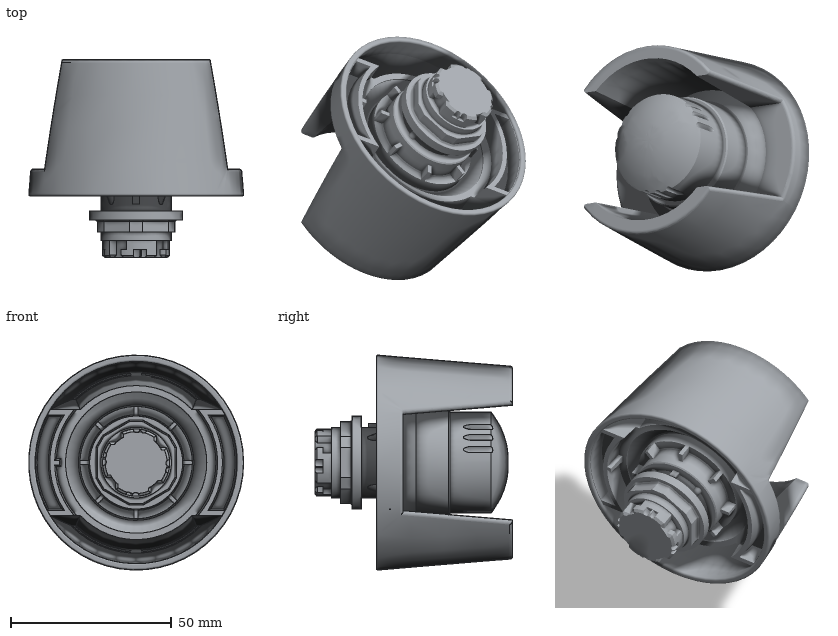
import cadquery as cq
import math


rim_radius = 33.55
guard_length = 42.5
guard_tip_radius = 30.0
guard_wall = 2.0
arm_inner_tip_radius = 25.8
arm_inner_base_radius = 22.6
edge_round = 1.0
rim_round = 0.6

slot_floor_y = 8.4
slot_half_at_floor = 15.0
slot_half_at_tip = 17.85

web_y = 0.8
recess_floor_y = 6.9
lip_radius = 31.5
recess_mouth_radius = 25.4
recess_floor_radius = 24.85
funnel_radius = 22.0
funnel_throat_radius = 18.0
funnel_mouth_depth = 0.5
funnel_throat_y = 10.9
funnel_top_y = 12.3
funnel_top_radius = 18.4

hollow_end_y = guard_length - guard_wall
hollow_end_outer_radius = 28.2
hollow_end_inner_radius = 27.1
hollow_inner_radius = 24.0
hollow_half_at_rim = 16.5
hollow_half_at_end = 19.6
hollow_round = 0.35

pocket_outer_radius = 31.35
pocket_inner_radius = 26.9
pocket_half_height = 14.9
pocket_draft = 0.5

tab_tip_x = -23.95
tab_half_width = 0.7
tab_flare = 0.5

button_tip_y = 41.1
dome_edge_y = 35.7
dome_mid_radius = 8.5
dome_mid_y = 39.8
cap_radius = 31.5 / 2
bezel_radius = 35.0 / 2
bezel_front_y = 22.9
bezel_chamfer = 0.4
hub_radius = 29.0 / 2
hub_end_radius = 28.3 / 2
hub_flare = 0.4
hub_bore_radius = 22.6 / 2
hub_bore_depth = 0.7
grip_radius = 1.1
grip_center_radius = 16.1
grip_end_y = 29.3
grip_tip_y = 26.6
grip_nose_radius = 0.7
grip_nose_y = 27.8
grip_first_angle = 15
grip_step = 15
grip_count = 3
grip_groups = 3

fin_count = 8
fin_thickness = 1.3
fin_rear_y = 2.6

stem_radius = 22.0 / 2
washer_radius = 29.0 / 2
washer_front_y = -4.65
washer_rear_y = -7.5
stem_rear_y = -13.9
end_y = -19.15
flute_front_y = -16.6
plug_radius = 10.45
plug_end_radius = 9.65
plug_chamfer_y = -18.5
key_half_width = 1.1
key_top_radius = 12.25
key_rear_y = -2.45
gusset_radius = 1.25
gusset_length = 2.4

nut_rear_y = -11.2
nut_skirt_y = -7.9
nut_flats = 24.2
nut_corner_flats = 25.6
nut_skirt_growth = 0.9

quarter_turns = 4
flute_x = 0.15
flute_radius = 1.05
flute_center_radius = 10.35
small_flute_x = 2.4
small_flute_radius = 0.85
notch_floor_radius = 8.85
notch_x = 6.4
notch_z = 4.7
notch_inner_z = 3.06
notch_bevel = 0.8

REACH = 60.0


def revolve_points(points):
    """Revolve an (r, y) outline around the Y axis."""
    return cq.Workplane("XY").polyline(points).close().revolve(360, (0, 0, 0), (0, 1, 0))


def turn(body, angle):
    """Turn a body around the Y axis."""
    return body.rotate((0, 0, 0), (0, 1, 0), angle)


def radius_of(point):
    """Distance of a point from the Y axis."""
    return math.hypot(point.x, point.z)


def along_y(y):
    """Workplane facing -Y at height y, with local (x, y) equal to global (x, z)."""
    return cq.Workplane("XZ", origin=(0, y, 0))


def tapered_band(y0, half0, y1, half1):
    """Block across the whole X width whose half height in Z changes from y0 to y1."""
    outline = [(y0, -half0), (y1, -half1), (y1, half1), (y0, half0)]
    return cq.Workplane("YZ").polyline(outline).close().extrude(REACH, both=True)


def make_guard_shell():
    shell = revolve_points([
        (rim_radius, 0),
        (guard_tip_radius, guard_length),
        (arm_inner_tip_radius, guard_length),
        (arm_inner_base_radius, slot_floor_y),
        (funnel_radius, slot_floor_y),
        (funnel_radius, recess_floor_y),
        (recess_floor_radius, recess_floor_y),
        (recess_mouth_radius, web_y),
        (lip_radius, web_y),
        (lip_radius, 0),
    ])
    shell = shell.faces("<Y").edges().fillet(rim_round)
    slot = tapered_band(slot_floor_y, slot_half_at_floor, guard_length, slot_half_at_tip)
    shell = shell.cut(slot)

    outer_edges = []
    tolerance = 0.05
    for edge in shell.edges().vals():
        mid = edge.positionAt(0.5)
        cone_radius = rim_radius - (rim_radius - guard_tip_radius) * mid.y / guard_length
        if mid.y > web_y and abs(radius_of(mid) - cone_radius) < tolerance:
            outer_edges.append(edge)
    return shell.newObject(outer_edges).fillet(edge_round)


def make_funnel():
    return revolve_points([
        (arm_inner_base_radius, slot_floor_y),
        (funnel_top_radius, funnel_top_y),
        (bezel_radius, funnel_top_y),
        (bezel_radius, funnel_throat_y),
        (funnel_throat_radius, funnel_throat_y),
        (funnel_radius, recess_floor_y + funnel_mouth_depth),
        (funnel_radius, recess_floor_y),
        (arm_inner_base_radius, recess_floor_y),
    ])


def make_arm_hollows():
    ring = revolve_points([
        (lip_radius, rim_round),
        (lip_radius, recess_floor_y),
        (hollow_end_outer_radius, hollow_end_y),
        (hollow_end_inner_radius, hollow_end_y),
        (hollow_inner_radius, recess_floor_y),
        (hollow_inner_radius, rim_round),
    ])
    ring = ring.faces(">Y").edges().fillet(hollow_round)
    straight_band = tapered_band(0, hollow_half_at_rim, recess_floor_y, hollow_half_at_rim)
    drafted_band = tapered_band(recess_floor_y, hollow_half_at_rim, hollow_end_y, hollow_half_at_end)
    return ring.cut(straight_band).cut(drafted_band)


def make_side_pockets():
    ring = revolve_points([
        (pocket_outer_radius, web_y),
        (pocket_outer_radius - pocket_draft, recess_floor_y),
        (pocket_inner_radius + pocket_draft, recess_floor_y),
        (pocket_inner_radius, web_y),
    ])
    floor_half_height = pocket_half_height - pocket_draft
    return ring.intersect(tapered_band(web_y, pocket_half_height, recess_floor_y, floor_half_height))


def make_tab():
    length = recess_mouth_radius + tab_tip_x
    middle_x = tab_tip_x - length / 2
    return (
        along_y(web_y)
        .center(middle_x, 0)
        .rect(length, 2 * tab_half_width)
        .workplane(offset=web_y - recess_floor_y)
        .rect(length + 2 * tab_flare, 2 * (tab_half_width + tab_flare))
        .loft(ruled=True)
    )


def make_guard():
    guard = make_guard_shell().cut(make_arm_hollows()).cut(make_side_pockets())
    return guard.union(make_tab()).union(make_funnel())


def make_grip_grooves():
    groove = (
        cq.Workplane("XY")
        .moveTo(0, button_tip_y)
        .lineTo(grip_radius, button_tip_y)
        .lineTo(grip_radius, grip_end_y)
        .threePointArc((grip_nose_radius, grip_nose_y), (0, grip_tip_y))
        .close()
        .revolve(360, (0, 0, 0), (0, 1, 0))
        .translate((-grip_center_radius, 0, 0))
    )
    grooves = cq.Workplane("XY")
    for group in range(grip_groups):
        for index in range(grip_count):
            angle = grip_first_angle + index * grip_step + group * 360 / grip_groups
            grooves = grooves.union(turn(groove, angle))
    return grooves


def make_button_and_stem():
    body = (
        cq.Workplane("XY")
        .moveTo(0, button_tip_y)
        .threePointArc((dome_mid_radius, dome_mid_y), (cap_radius, dome_edge_y))
        .lineTo(cap_radius, bezel_front_y)
        .lineTo(bezel_radius - bezel_chamfer, bezel_front_y)
        .lineTo(bezel_radius, bezel_front_y - bezel_chamfer)
        .lineTo(bezel_radius, recess_floor_y)
        .lineTo(hub_radius + hub_flare, recess_floor_y)
        .lineTo(hub_radius, recess_floor_y - hub_flare)
        .lineTo(hub_radius, hub_radius - hub_end_radius)
        .lineTo(hub_end_radius, 0)
        .lineTo(hub_bore_radius, 0)
        .lineTo(hub_bore_radius, hub_bore_depth)
        .lineTo(stem_radius, hub_bore_depth)
        .lineTo(stem_radius, washer_front_y)
        .lineTo(washer_radius, washer_front_y)
        .lineTo(washer_radius, washer_rear_y)
        .lineTo(stem_radius, washer_rear_y)
        .lineTo(stem_radius, stem_rear_y)
        .lineTo(plug_radius, stem_rear_y)
        .lineTo(plug_radius, plug_chamfer_y)
        .lineTo(plug_end_radius, end_y)
        .lineTo(0, end_y)
        .close()
        .revolve(360, (0, 0, 0), (0, 1, 0))
    )
    return body.cut(make_grip_grooves())


def make_fins():
    length = recess_floor_y - fin_rear_y
    height = bezel_radius - stem_radius
    fin = cq.Workplane("XY").box(fin_thickness, length, height).translate(
        (0, fin_rear_y + length / 2, stem_radius + height / 2)
    )
    fins = fin
    for index in range(1, fin_count):
        fins = fins.union(turn(fin, index * 360 / fin_count))
    return fins


def make_key():
    return cq.Workplane("XY").box(2 * key_half_width, -key_rear_y, key_top_radius).translate(
        (0, key_rear_y / 2, key_top_radius / 2)
    )


def make_gussets():
    slope = math.degrees(math.atan2(gusset_radius, gusset_length))
    gusset = cq.Workplane("XZ").circle(gusset_radius).extrude(2 * gusset_length, both=True)
    gusset = gusset.rotate((0, 0, 0), (1, 0, 0), slope).translate((0, 0, stem_radius))
    behind_hub = cq.Workplane("XY").box(REACH, REACH, REACH).translate((0, -REACH / 2, 0))
    gusset = gusset.intersect(behind_hub)
    gussets = cq.Workplane("XY")
    for index in range(quarter_turns):
        gussets = gussets.union(turn(gusset, 45 + index * 360 / quarter_turns))
    return gussets


def hexagon(plane, flats, angle):
    """Hexagon measured across its flats."""
    points = []
    for index in range(6):
        direction = math.radians(angle + 60 * index)
        radius = flats / math.sqrt(3)
        points.append((radius * math.cos(direction), radius * math.sin(direction)))
    return plane.polyline(points).close()


def make_nut():
    def hex_column(flats, angle):
        body = hexagon(along_y(nut_skirt_y), flats, angle).extrude(nut_skirt_y - nut_rear_y)
        skirt = hexagon(along_y(washer_rear_y), flats + nut_skirt_growth, angle)
        skirt = hexagon(skirt.workplane(offset=washer_rear_y - nut_skirt_y), flats, angle)
        return body.union(skirt.loft(ruled=True))

    return hex_column(nut_flats, 30).intersect(hex_column(nut_corner_flats, 0))


def make_flutes():
    depth = flute_front_y - end_y
    plane = along_y(flute_front_y)
    flute = plane.center(flute_x, flute_center_radius).circle(flute_radius).extrude(depth)
    small_z = math.sqrt(flute_center_radius ** 2 - small_flute_x ** 2)
    small = (
        along_y(flute_front_y).center(small_flute_x, small_z).circle(small_flute_radius).extrude(depth)
    )
    return flute.union(small)


def make_notch():
    """L-shaped bayonet notch: wider in front of the flutes, bevelled at the end face."""
    def corner(plane, x, z):
        return plane.polyline([(x, z), (REACH, z), (REACH, REACH), (x, REACH)]).close()

    notch = corner(along_y(stem_rear_y), notch_x, notch_z).extrude(stem_rear_y - end_y)
    wide = corner(along_y(stem_rear_y), notch_x, notch_inner_z).extrude(stem_rear_y - flute_front_y)
    bevel = corner(along_y(end_y), notch_x - notch_bevel, notch_z - notch_bevel)
    bevel = bevel.extrude(-notch_bevel, taper=45)
    core = along_y(stem_rear_y).circle(notch_floor_radius).extrude(stem_rear_y - end_y)
    return notch.union(wide).union(bevel).cut(core)


button = make_button_and_stem().union(make_fins()).union(make_key()).union(make_gussets())
button = button.union(make_nut())
plug_cutter = make_flutes().union(make_notch())
for index in range(quarter_turns):
    button = button.cut(turn(plug_cutter, index * 360 / quarter_turns))

result = make_guard().union(button)